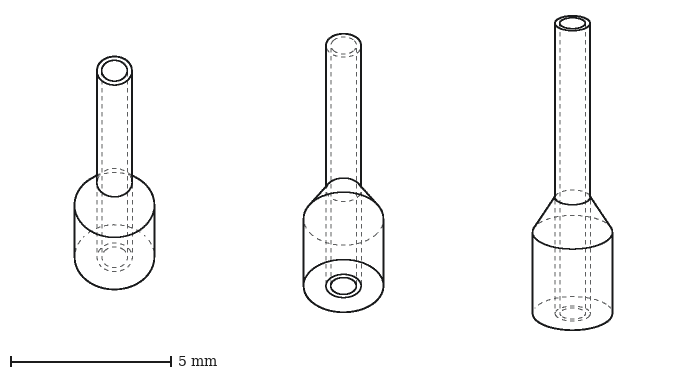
import cadquery as cq


tube_length = 10.0
tube_diameter = 1.1
bore_diameter = 0.8

collar_diameter = 2.5
collar_straight_height = 2.8
collar_taper_height = 1.2
collar_height = collar_straight_height + collar_taper_height


def make_tube():
    """Full-length tube, open at both ends."""
    return (
        cq.Workplane("XY")
        .circle(tube_diameter / 2)
        .circle(bore_diameter / 2)
        .extrude(tube_length)
    )


def make_collar():
    """Cylindrical sleeve that tapers at the top down to the tube surface."""
    inner_radius = tube_diameter / 2
    outer_radius = collar_diameter / 2
    half_section = (
        cq.Workplane("XZ")
        .moveTo(inner_radius, 0)
        .lineTo(outer_radius, 0)
        .lineTo(outer_radius, collar_straight_height)
        .lineTo(inner_radius, collar_height)
        .close()
    )
    return half_section.revolve(360, (0, 0, 0), (0, 1, 0))


tube = make_tube()
collar = make_collar()

result = cq.Compound.makeCompound([tube.val(), collar.val()])